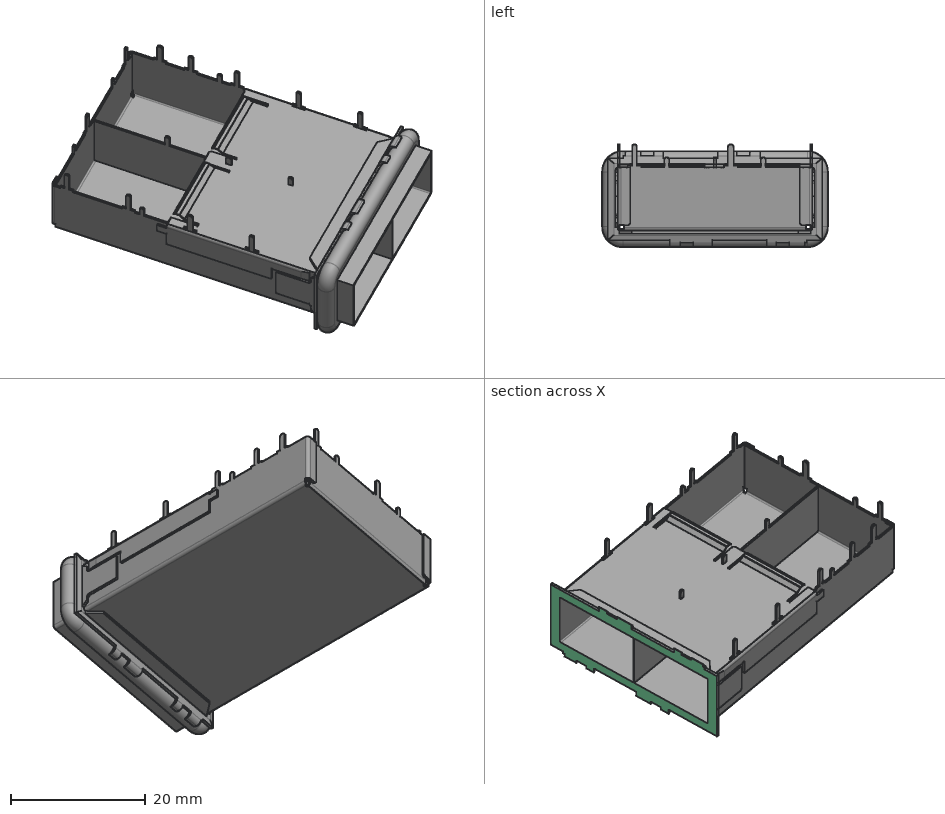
import cadquery as cq


length = 49.02
width = 28.96
height = 9.45
overall_height = 15.29
sheet = 0.3
bend = 0.5
half_width = width / 2
mid_height = height / 2

flap_gap = 0.05
flap_reach = 12.6
flap_bottom = 0.85
flap_corner = 0.25
rear_outer = sheet + flap_gap
rear_inner = rear_outer + sheet
rear_bend = 0.55
relief_inner = 13.55
relief_outer = 14.0
relief_end = 0.97

cover_start = 18.83
cover_end = 42.0
skirt_toe_in_start = 40.6
skirt_toe_in = 0.1
cover_sheet = 0.31
cover_half = half_width + cover_sheet
skirt_deep_end = 35.84
skirt_deep_bottom = 5.15
skirt_bottom = 7.45
skirt_ear_start = 17.3
skirt_ear_top = 8.75
slot_end = 23.1
tab_half = 1.2
tab_corner = 0.3
finger_inner = 1.54
finger_outer = 12.6
outer_slot_side = 13.1
finger_root = 20.85
finger_crest_rear = 19.35
finger_crest_front = 20.0
finger_tip = 19.0
finger_rise = 0.55
finger_droop = 0.2
finger_sheet = 0.15

pin_top = 12.87
short_pin_top = 10.95
slim_pin = 0.72
wide_pin = 0.9
foot_width = 2.05
foot_height = 0.3
pin_root_depth = 1.0
near_pins = [(2.5, slim_pin), (12.5, slim_pin), (22.5, wide_pin), (32.5, slim_pin)]
far_pins = [(5.0, wide_pin), (10.0, slim_pin), (17.5, slim_pin), (27.5, slim_pin), (37.5, slim_pin)]
side_short_pin = 14.7
rear_pins = [(11.96, slim_pin), (-2.34, wide_pin)]
rear_short_pins = [7.17, -7.17]
divider_pins = [(12.5, slim_pin), (22.5, wide_pin), (32.5, slim_pin)]

tab_start = 41.06
throat = 43.15
flange_rear = 43.35
collar_sheet = 0.45
throat_half_width = 15.05
throat_half_height = 5.35
flange_half_width = 15.95
flange_half_height = 6.1
tab_root_half = 14.2
tab_tip_half = 12.4
side_tab_start = 36.6
side_tab_flare = 42.0
side_tab_half = 2.37
side_tab_neck = 42.3
side_tab_neck_half = 2.75
side_tab_root_half = 4.2
side_tab_root_start_half = 3.5
side_tab_corner = 0.25
side_tab_proud = 0.05

gasket_start = 43.75
gasket_end = 46.4
gasket_width = 33.57
gasket_height = height + 2 * (overall_height - pin_top)
gasket_corner = 3.1

clip_groups = [
    ((7.67, 13.6), [(11.0, 13.3), (7.67, 9.13)]),
    ((-6.7, -0.4), [(-3.25, -0.4), (-6.7, -5.17)]),
]
clip_end = 44.75
clip_corner = 0.3
clip_crest = 44.32
web_rise = 0.37
web_top = mid_height + flange_half_height + web_rise
web_rear = flange_rear + web_rise * (flange_rear - throat) / (flange_half_height - throat_half_height)


def block(x0, x1, y0, y1, z0, z1):
    return cq.Workplane("XY").box(x1 - x0, y1 - y0, z1 - z0, centered=False).translate((x0, y0, z0))


def extrude_along_y(points, y0, y1):
    return cq.Workplane("XZ", origin=(0, y0, 0)).polyline(points).close().extrude(y0 - y1)


def mirror_y(shape):
    return shape.union(shape.mirror("XZ"))


def make_pin(pin_width, top, with_foot):
    """Round-ended sheet pin, centred on X = Y = 0 and rooted below the cage top."""
    root = height - pin_root_depth
    tip_centre = top - pin_width / 2
    pin = (
        cq.Workplane("XZ", origin=(0, sheet / 2, 0))
        .moveTo(-pin_width / 2, root)
        .lineTo(pin_width / 2, root)
        .lineTo(pin_width / 2, tip_centre)
        .threePointArc((0, top), (-pin_width / 2, tip_centre))
        .close()
        .extrude(sheet)
    )
    if with_foot:
        half = foot_width / 2
        pin = pin.union(block(-half, half, -sheet / 2, sheet / 2, root, height + foot_height))
    return pin


def make_cage():
    """Solid cage block, its inner cavity, and the material removed at the rear end."""
    shell = block(0, length, -half_width, half_width, 0, height)
    shell = shell.edges("|X and <Z").fillet(bend)
    shell = shell.edges("|Z and <X").fillet(bend)
    inner_half = half_width - sheet
    cavity = block(sheet, length, -inner_half, inner_half, sheet, height - sheet)
    cavity = cavity.edges("|X and <Z").fillet(bend - sheet)
    open_top = block(sheet, cover_start, -inner_half, inner_half, mid_height, height)
    half_opening = [
        (half_width, 0),
        (half_width, flap_bottom),
        (flap_reach + flap_corner, flap_bottom),
        (flap_reach, flap_bottom + flap_corner),
        (flap_reach, height),
    ]
    opening = half_opening + [(-y, z) for y, z in reversed(half_opening)]
    rear_opening = cq.Workplane("YZ").polyline(opening).close().extrude(rear_outer)
    below_flaps = block(0, rear_inner, -half_width, half_width, 0, flap_bottom)
    return shell, cavity.union(open_top), rear_opening.union(below_flaps)


def make_rear_wall():
    wall = block(rear_outer, relief_end, -relief_outer, relief_outer, 0, height)
    wall = wall.edges("|Y and <X and <Z").fillet(rear_bend)
    inside = block(rear_inner, relief_end, -relief_outer, relief_outer, sheet, height)
    inside = inside.edges("|Y and <X and <Z").fillet(rear_bend - sheet)
    return wall.cut(inside)


def make_divider():
    return block(rear_inner, length, -sheet / 2, sheet / 2, sheet, height - sheet)


def make_corner_reliefs():
    return mirror_y(block(0, relief_end, relief_inner, relief_outer, 0, flap_bottom))


def make_cover_skirts():
    """Cover edges folded down over the outside of both side walls."""
    lip = block(cover_start, cover_end, -cover_half, cover_half, skirt_bottom, height)
    deep = block(cover_start, skirt_deep_end, -cover_half, cover_half, skirt_deep_bottom, height)
    skirts = lip.union(deep).edges("|X and >Z").fillet(bend)
    ear = block(skirt_ear_start, cover_start, half_width, cover_half, skirt_bottom, skirt_ear_top)
    toe_in = (
        cq.Workplane("XY")
        .polyline([(skirt_toe_in_start, cover_half), (cover_end, cover_half),
                   (cover_end, cover_half - skirt_toe_in)])
        .close()
        .extrude(height)
    )
    return skirts.cut(mirror_y(toe_in)).union(mirror_y(ear))


def make_cover_cutouts():
    """Windows for the spring fingers, the slots beside them and the middle tab corners."""
    z0 = height - sheet
    cutouts = block(cover_start, finger_root, finger_inner, finger_outer, z0, height)
    for y0, y1 in ((tab_half, finger_inner), (finger_outer, outer_slot_side)):
        cutouts = cutouts.union(block(cover_start, slot_end, y0, y1, z0, height))
    corner = (
        cq.Workplane("XY", origin=(0, 0, z0))
        .polyline([(cover_start, tab_half), (cover_start + tab_corner, tab_half),
                   (cover_start, tab_half - tab_corner)])
        .close()
        .extrude(sheet)
    )
    return mirror_y(cutouts.union(corner))


def make_fingers():
    """Sheet fingers that rise to a crest and droop at their free tips."""
    crest = height + finger_rise
    tip = crest - finger_droop
    outline = [
        (finger_root, height),
        (finger_crest_front, crest),
        (finger_crest_rear, crest),
        (finger_tip, tip),
        (finger_tip, tip - finger_sheet),
        (finger_crest_rear, crest - finger_sheet),
        (finger_crest_front, crest - finger_sheet),
        (finger_root, height - sheet),
    ]
    return mirror_y(extrude_along_y(outline, finger_inner, finger_outer))


def make_collar_tabs():
    """Collar tabs above, below and beside the cage, spanning it; the cage cavity is cut later."""
    plan = [
        (tab_start, -tab_tip_half),
        (throat, -tab_root_half),
        (throat, tab_root_half),
        (tab_start, tab_tip_half),
    ]
    tabs = (
        cq.Workplane("XY", origin=(0, 0, -collar_sheet))
        .polyline(plan).close()
        .extrude(height + 2 * collar_sheet)
    )
    side_half = cover_half + side_tab_proud
    z0 = mid_height - side_tab_half
    z1 = mid_height + side_tab_half
    side = block(side_tab_start, throat, -side_half, side_half, z0, z1)
    side = side.edges("|Y and <X").fillet(side_tab_corner)
    upper_flare = [
        (side_tab_flare, side_tab_half),
        (side_tab_neck, side_tab_neck_half),
        (side_tab_neck, side_tab_root_start_half),
        (throat, side_tab_root_half),
    ]
    lower_flare = [(x, -z) for x, z in reversed(upper_flare)]
    flare = [(x, mid_height + z) for x, z in upper_flare + lower_flare]
    return tabs.union(side).union(extrude_along_y(flare, -side_half, side_half))


def make_flange():
    flare = (
        cq.Workplane("YZ", origin=(throat, 0, mid_height))
        .rect(2 * throat_half_width, 2 * throat_half_height)
        .workplane(offset=flange_rear - throat)
        .rect(2 * flange_half_width, 2 * flange_half_height)
        .loft(ruled=True)
    )
    plate = (
        cq.Workplane("YZ", origin=(flange_rear, 0, mid_height))
        .rect(2 * flange_half_width, 2 * flange_half_height)
        .extrude(gasket_start - flange_rear)
    )
    return flare.union(plate)


def make_gasket():
    """Round cord running around a rounded rectangle, filled solid inside its centre line."""
    radius = (gasket_end - gasket_start) / 2
    path_width = gasket_width - 2 * radius
    path_height = gasket_height - 2 * radius
    core = (
        cq.Workplane("YZ", origin=(gasket_start, 0, mid_height))
        .rect(path_width, path_height)
        .extrude(2 * radius)
        .edges("|X").fillet(gasket_corner - radius)
    )
    cord_x = gasket_start + radius
    path = core.faces("<X").wires().val().translate(cq.Vector(radius, 0, 0))
    start = (cord_x, 0, mid_height + path_height / 2)
    cord = cq.Workplane("XZ", origin=start).circle(radius).sweep(cq.Workplane(path))
    return core.union(cord)


def clip_profile(y0):
    """Start of a clip outline: straight up the flare to the top of the web."""
    return (
        cq.Workplane("XZ", origin=(0, y0, 0))
        .moveTo(throat, mid_height + throat_half_height)
        .lineTo(web_rear, web_top)
    )


def make_clips():
    top = mid_height + gasket_height / 2
    root = mid_height + throat_half_height
    clips = cq.Workplane("XY")
    for web_span, clip_spans in clip_groups:
        web = clip_profile(web_span[0]).lineTo(gasket_start, web_top).lineTo(gasket_start, root)
        clips = clips.add(web.close().extrude(web_span[0] - web_span[1]))
        for y0, y1 in clip_spans:
            hook = (
                clip_profile(y0)
                .tangentArcPoint((clip_crest, top), relative=False)
                .lineTo(clip_end, top)
                .lineTo(clip_end, root)
                .close()
                .extrude(y0 - y1)
            )
            clips = clips.add(hook.edges("|Z and >X and >Y").fillet(clip_corner))
    clips = clips.combine()
    return clips.union(clips.rotate((0, 0, mid_height), (1, 0, mid_height), 180))


def make_pins():
    wall_y = half_width - sheet / 2
    short_pin = make_pin(slim_pin, short_pin_top, False)
    rear_x = rear_outer + sheet / 2
    pins = []
    for places, side in ((near_pins, -1), (far_pins, 1)):
        pins.append(short_pin.translate((side_short_pin, side * wall_y, 0)))
        for x, pin_width in places:
            pins.append(make_pin(pin_width, pin_top, True).translate((x, side * wall_y, 0)))
    for x, pin_width in divider_pins:
        pins.append(make_pin(pin_width, short_pin_top, False).translate((x, 0, 0)))
    rear_wall_pins = [(y, make_pin(pin_width, pin_top, True)) for y, pin_width in rear_pins]
    rear_wall_pins += [(y, short_pin) for y in rear_short_pins]
    for y, pin in rear_wall_pins:
        pins.append(pin.rotate((0, 0, 0), (0, 0, 1), 90).translate((rear_x, y, 0)))
    return pins


shell, cavity, rear_cut = make_cage()
body = shell.cut(rear_cut).union(make_cover_skirts())
body = body.union(make_collar_tabs()).union(make_flange()).union(make_gasket()).union(make_clips())
body = body.cut(cavity).union(make_rear_wall()).cut(make_corner_reliefs())
body = body.cut(make_cover_cutouts()).union(make_fingers())
body = body.union(make_divider())
for pin in make_pins():
    body = body.union(pin)

result = body